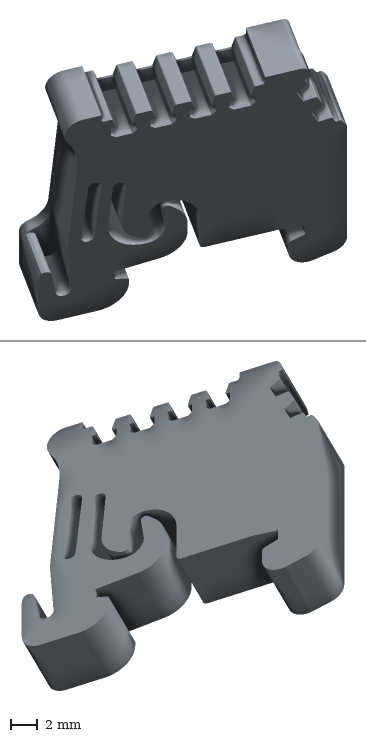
import cadquery as cq
import math

THICKNESS = 5.0
DEPTH = 24.15
HEIGHT = 23.0

GAP_PITCH = 3.1
GAP_MOUTH = 1.84
GAP_FLOOR = 1.3
GAP_DEPTH = 1.06
GAP_FOOT = 0.15
MOUTH_FILLET = 0.15
ROW_END = 1.76
TOP_ROW_Y = 11.35
TOP_ROW_Z = 22.2
TOP_GAPS = 4
SLANT_ROW_Y = 22.05
SLANT_ROW_Z = 18.65
SLANT_ANGLE = 67.4
SLANT_GAPS = 2
STEP_FILLET = 0.22

CHAMBER_LIP_TOP = 0.17
CHAMBER_LIP_FOOT = 0.48
CHAMBER_SIDE = 0.36
CHAMBER_WALL = 0.8
CHAMBER_BEVEL = 0.31

ARM_SLOT_RADIUS = 0.5
ARM_SLOT_TOP = (4.42, 14.68)
ARM_SLOT_BOTTOM = (3.9, 8.95)

GROOVE_START = 0.97
GROOVE_BOTTOM = 2.73
GROOVE_BOTTOM_RADIUS = 0.58
LIP_RADIUS = 0.5


def unit(start, end):
    length = math.dist(start, end)
    return (end[0] - start[0]) / length, (end[1] - start[1]) / length


def rounded_outline(corners):
    """Closed wire in the YZ plane from (y, z, corner radius) entries."""
    pieces = []
    for i, (y, z, radius) in enumerate(corners):
        if radius == 0:
            pieces.append([(y, z)])
            continue
        before = unit((y, z), corners[i - 1][:2])
        after = unit((y, z), corners[(i + 1) % len(corners)][:2])
        half = math.acos(before[0] * after[0] + before[1] * after[1]) / 2
        setback = radius / math.tan(half)
        bisector = unit((0, 0), (before[0] + after[0], before[1] + after[1]))
        reach = radius / math.sin(half) - radius
        pieces.append([
            (y + before[0] * setback, z + before[1] * setback),
            (y + bisector[0] * reach, z + bisector[1] * reach),
            (y + after[0] * setback, z + after[1] * setback),
        ])
    path = cq.Workplane("YZ").moveTo(*pieces[0][-1])
    for piece in pieces[1:] + pieces[:1]:
        path = path.lineTo(*piece[0])
        if len(piece) == 3:
            path = path.threePointArc(*piece[1:])
    return path.close()


def gap_row(centre_y, centre_z, angle, count):
    """Corners of a row of gaps; the row runs towards +Y and drops by the given angle."""
    along = (math.cos(math.radians(angle)), -math.sin(math.radians(angle)))
    inward = (along[1], -along[0])

    def corner(distance, depth, radius=0):
        return (
            centre_y + distance * along[0] + depth * inward[0],
            centre_z + distance * along[1] + depth * inward[1],
            radius,
        )

    half_row = GAP_PITCH * (count - 1) / 2
    corners = [corner(-half_row - ROW_END, 0, STEP_FILLET)]
    for i in range(count):
        middle = i * GAP_PITCH - half_row
        corners += [
            corner(middle - GAP_MOUTH / 2, 0, MOUTH_FILLET),
            corner(middle - GAP_FLOOR / 2, GAP_DEPTH - GAP_FOOT),
            corner(middle - GAP_FLOOR / 2, GAP_DEPTH),
            corner(middle + GAP_FLOOR / 2, GAP_DEPTH),
            corner(middle + GAP_FLOOR / 2, GAP_DEPTH - GAP_FOOT),
            corner(middle + GAP_MOUTH / 2, 0, MOUTH_FILLET),
        ]
    corners.append(corner(half_row + ROW_END, 0, STEP_FILLET))
    return corners


def body_outline():
    """Corners of the side profile, starting at the latch foot and going up its -Y side."""
    top_row_half = GAP_PITCH * (TOP_GAPS - 1) / 2 + ROW_END
    latch_side = [
        (0, 0, 1.5),
        (0, 6.01, 1.09),
        (2.17, 6.75, 2.3),
        (3.2, 19.27, 4.73),
        (0.77, HEIGHT, 1.5),
    ]
    top_edge = [
        (TOP_ROW_Y - top_row_half, HEIGHT, 0),
        *gap_row(TOP_ROW_Y, TOP_ROW_Z, 0, TOP_GAPS),
        (TOP_ROW_Y + top_row_half, HEIGHT, 0),
        (21.03, HEIGHT, 0.58),
    ]
    slanted_edge = [
        (21.25, 21.78, 0),
        *gap_row(SLANT_ROW_Y, SLANT_ROW_Z, SLANT_ANGLE, SLANT_GAPS),
        (23.62, 15.95, 0.2),
    ]
    back_side = [
        (DEPTH, 15.07, 0.48),
        (DEPTH, 0.77, 1.45),
        (19.59, -0.48, 1.55),
    ]
    rail_seat = [
        (19.59, 2.8, 0.36),
        (20.9, 3.33, 0),
        (20.9, 4.3, 0),
        (18.9, 4.6, 0),
        (12.63, 4.6, 0.36),
    ]
    winding_gap = [
        (12.63, 10.7, 2.8),
        (8.55, 11.28, 1.25),
        (8.8, 6.95, 0.48),
        (6.42, 8.38, 2.17),
        (6.88, 14.51, 0.48),
        (5.87, 14.51, 0.48),
        (5.2, 6.65, 2.97),
        (10.15, 6.65, 1.45),
        (9.6, 11.08, 0.35),
        (11.7, 9.05, 2.9),
        (11.7, 4.7, 2.42),
    ]
    latch_foot = [
        (6.0, 4.18, 0),
        (6.0, 3.28, 0),
        (7.1, 2.97, 0.2),
        (7.1, 0, 2.46),
    ]
    return latch_side + top_edge + slanted_edge + back_side + rail_seat + winding_gap + latch_foot


def arm_slot():
    """Closed leaning slot through the spring arm."""
    rise = ARM_SLOT_TOP[1] - ARM_SLOT_BOTTOM[1]
    lean = ARM_SLOT_TOP[0] - ARM_SLOT_BOTTOM[0]
    middle = [(low + high) / 2 for low, high in zip(ARM_SLOT_BOTTOM, ARM_SLOT_TOP)]
    return (
        cq.Workplane("YZ")
        .center(*middle)
        .slot2D(
            math.hypot(rise, lean) + 2 * ARM_SLOT_RADIUS,
            2 * ARM_SLOT_RADIUS,
            math.degrees(math.atan2(rise, lean)),
        )
        .extrude(THICKNESS)
    )


def driver_groove():
    """Deep groove with a round bottom, behind the rounded lip of the latch foot."""
    corners = [
        (-0.36, 5.82, 0),
        (2.3, 8.2, 0),
        (2.63, GROOVE_BOTTOM, GROOVE_BOTTOM_RADIUS),
        (1.45, GROOVE_BOTTOM, GROOVE_BOTTOM_RADIUS),
        (0.97, 6.05, LIP_RADIUS),
    ]
    groove = rounded_outline(corners).extrude(THICKNESS - GROOVE_START)
    return groove.translate((GROOVE_START, 0, 0))


def gap_chamber(middle_y):
    """Undercut below a top gap: wider than the gap, bevelled at the floor, open at +X."""
    top = TOP_ROW_Z - GAP_DEPTH
    shoulder = top - CHAMBER_WALL
    floor = shoulder - CHAMBER_BEVEL
    near, far = middle_y - GAP_FLOOR / 2, middle_y + GAP_FLOOR / 2
    section = [
        (near - CHAMBER_SIDE, top),
        (far + CHAMBER_SIDE, top),
        (far + CHAMBER_SIDE, shoulder),
        (far, floor),
        (near, floor),
        (near - CHAMBER_SIDE, shoulder),
    ]
    lip = [(0, top), (CHAMBER_LIP_TOP, top), (CHAMBER_LIP_FOOT, floor), (0, floor)]
    chamber = cq.Workplane("YZ").polyline(section).close().extrude(THICKNESS)
    return chamber.cut(cq.Workplane("XZ").polyline(lip).close().extrude(-DEPTH))


result = rounded_outline(body_outline()).extrude(THICKNESS).cut(arm_slot()).cut(driver_groove())
for i in range(TOP_GAPS):
    result = result.cut(gap_chamber(TOP_ROW_Y + GAP_PITCH * (i - (TOP_GAPS - 1) / 2)))